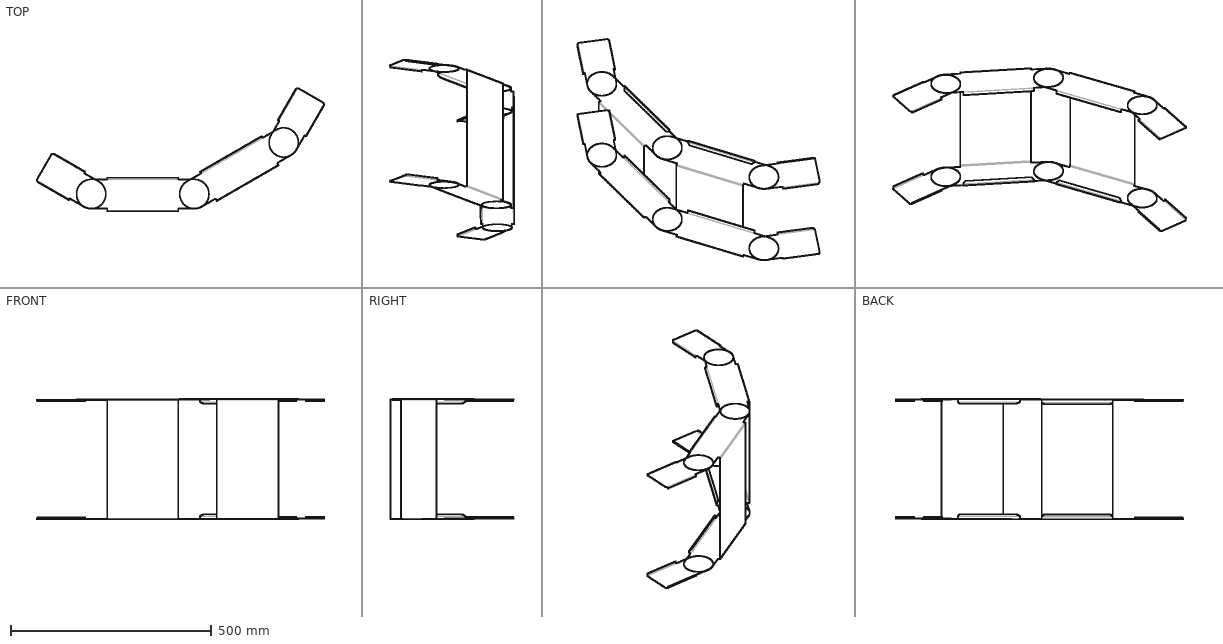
import cadquery as cq
import math


SHEET = 1.0
STRIP_WIDTH = 73.0
FLANGE_BEND = 2.5
TURN = 30

FRAME_HEIGHT = 300.0
HINGE_SPACING = 258.0
FOLD_LENGTH = 178.0
PANEL_OVERHANG = 6.5
CURL_BEND = 4.7
CURL_TURN = 135
CURL_LIP = 6.5

ARM_LENGTH = 136.0
ARM_FLANGE_LENGTH = 95.0
ARM_FLANGE_OVERHANG = 4.0
ARM_FLANGE_HEIGHT = 4.0

HALF_WIDTH = STRIP_WIDTH / 2


def on_circle(center, radius, angle):
    """Point on a circle in the section plane, at an angle in degrees."""
    turn = math.radians(angle)
    return (center[0] + radius * math.cos(turn), center[1] + radius * math.sin(turn))


def make_flange(length, overhang, height):
    """Edge of a plate on Z = 0, running on past HALF_WIDTH by the overhang and bent square upward."""
    inner_bend = FLANGE_BEND - SHEET
    outside = HALF_WIDTH + overhang
    center = (outside - FLANGE_BEND, FLANGE_BEND)
    return (
        cq.Workplane("YZ")
        .moveTo(HALF_WIDTH, 0)
        .lineTo(center[0], 0)
        .threePointArc(on_circle(center, FLANGE_BEND, -45), (outside, center[1]))
        .lineTo(outside, height)
        .lineTo(outside - SHEET, height)
        .lineTo(outside - SHEET, center[1])
        .threePointArc(on_circle(center, inner_bend, -45), (center[0], SHEET))
        .lineTo(HALF_WIDTH, SHEET)
        .close()
        .extrude(length)
    )


def make_curl():
    """Curled back edge of the lower strip: bent up past vertical, then a short mitred lip."""
    inner_bend = CURL_BEND - SHEET
    center = (HALF_WIDTH, CURL_BEND)
    bend_end = CURL_TURN - 90
    bend = (
        cq.Workplane("YZ")
        .moveTo(HALF_WIDTH, 0)
        .threePointArc(on_circle(center, CURL_BEND, 0), on_circle(center, CURL_BEND, bend_end))
        .lineTo(*on_circle(center, inner_bend, bend_end))
        .threePointArc(on_circle(center, inner_bend, 0), (HALF_WIDTH, SHEET))
        .close()
        .extrude(FOLD_LENGTH)
    )
    lip_start = on_circle(center, CURL_BEND, bend_end)
    lip_plane = cq.Plane(
        origin=(0, lip_start[0], lip_start[1]),
        xDir=(1, 0, 0),
        normal=(0, -math.cos(math.radians(bend_end)), -math.sin(math.radians(bend_end))),
    )
    lip = (
        cq.Workplane(lip_plane)
        .polyline([
            (0, 0),
            (FOLD_LENGTH, 0),
            (FOLD_LENGTH - CURL_LIP, CURL_LIP),
            (CURL_LIP, CURL_LIP),
        ])
        .close()
        .extrude(SHEET)
    )
    return bend.union(lip)


def make_frame():
    """Frame with its underside on Z = 0: two round-ended strips, front panel and curled back edges."""
    fold_start = ((HINGE_SPACING - FOLD_LENGTH) / 2, 0, 0)
    mid_height = (0, 0, FRAME_HEIGHT / 2)
    lower_strip = (
        cq.Workplane("XY", origin=(HINGE_SPACING / 2, 0, 0))
        .slot2D(HINGE_SPACING + STRIP_WIDTH, STRIP_WIDTH)
        .extrude(SHEET)
    )
    half_panel = make_flange(FOLD_LENGTH, PANEL_OVERHANG, FRAME_HEIGHT / 2).mirror("XZ")
    lower_half = lower_strip
    for fold in (make_curl(), half_panel):
        lower_half = lower_half.union(fold.translate(fold_start))
    return lower_half.union(lower_half.mirror("XY", mid_height))


def make_arm():
    """Arm with its flat underside on Z = 0 and both long edges bent square upward, mitred at the square end."""
    plate = (
        cq.Workplane("XY")
        .moveTo(0, HALF_WIDTH)
        .threePointArc((-HALF_WIDTH, 0), (0, -HALF_WIDTH))
        .lineTo(ARM_LENGTH, -HALF_WIDTH)
        .lineTo(ARM_LENGTH, HALF_WIDTH)
        .close()
        .extrude(SHEET)
    )
    mitre = (
        cq.Workplane("XY")
        .polyline([
            (ARM_LENGTH, HALF_WIDTH),
            (ARM_LENGTH, HALF_WIDTH + ARM_FLANGE_OVERHANG),
            (ARM_LENGTH - ARM_FLANGE_OVERHANG, HALF_WIDTH + ARM_FLANGE_OVERHANG),
        ])
        .close()
        .extrude(ARM_FLANGE_HEIGHT)
    )
    flange = (
        make_flange(ARM_FLANGE_LENGTH, ARM_FLANGE_OVERHANG, ARM_FLANGE_HEIGHT)
        .translate((ARM_LENGTH - ARM_FLANGE_LENGTH, 0, 0))
        .cut(mitre)
    )
    return plate.union(flange).union(flange.mirror("XZ"))


def place(link, angle, hinge, base):
    """Turn a link about its first hinge axis, then move it to that hinge and height."""
    return link.rotate((0, 0, 0), (0, 0, 1), angle).translate((hinge[0], hinge[1], base))


left_hinge = (0, 0)
middle_hinge = (HINGE_SPACING, 0)
right_hinge = (
    HINGE_SPACING + HINGE_SPACING * math.cos(math.radians(TURN)),
    HINGE_SPACING * math.sin(math.radians(TURN)),
)

left_frame_base = 0
right_frame_base = SHEET
left_frame = place(make_frame(), 0, left_hinge, left_frame_base)
right_frame = place(make_frame(), TURN, middle_hinge, right_frame_base)

arms = []
for angle, hinge, frame_base in (
    (180 - TURN, left_hinge, left_frame_base),
    (2 * TURN, right_hinge, right_frame_base),
):
    lower_arm = make_arm()
    upper_arm = lower_arm.mirror("XY")
    arms.append(place(lower_arm, angle, hinge, frame_base + SHEET))
    arms.append(place(upper_arm, angle, hinge, frame_base + FRAME_HEIGHT - SHEET))

result = cq.Compound.makeCompound([left_frame.val(), right_frame.val(), *[arm.val() for arm in arms]])